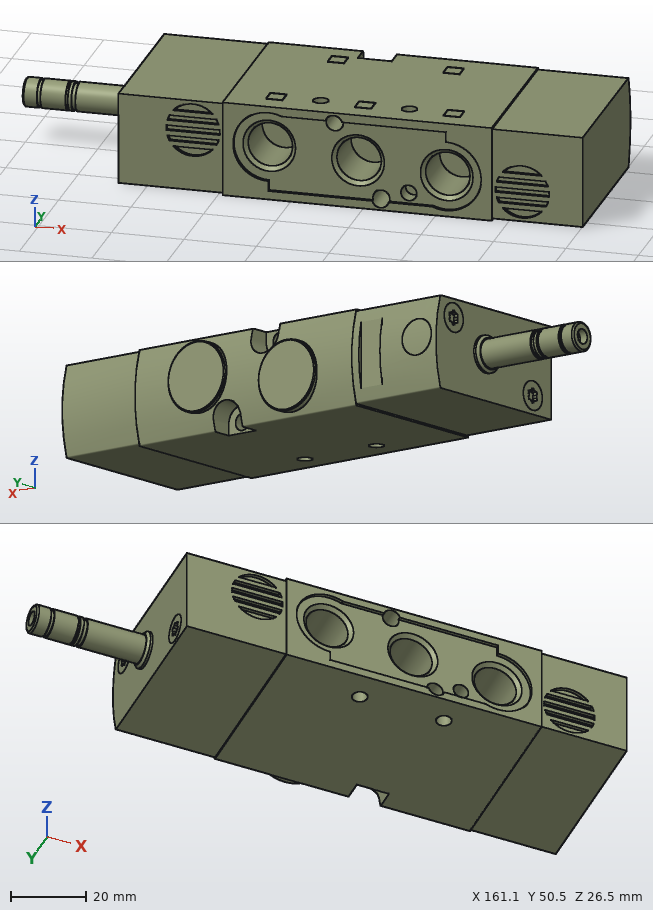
import cadquery as cq


block_length = 74.3
left_cap_length = 28.8
right_cap_length = 25.0
stem_length = 33.0

block_height = 26.5
crest_y = 49.5
crown_rise = 2.0
corner_radius = 0.5
cap_inset = 0.5

port_pitch_x = 24.5
port_pitch_z = 1.8
port_diameter = 12.2
port_mouth_diameter = 14.5
port_depth = 16.5

pad_circle_diameter = 19.5
pad_half_height = 10.8
pad_depth = 1.0

boss_diameter = 19.5
boss_offset_x = 15.5
boss_offset_z = 2.1
boss_height = 1.0
boss_chamfer = 0.3

bolt_hole_diameter = 4.7
bolt_hole_x = 6.5
bolt_hole_z = 10.1
bolt_slot_width = 9.3
bolt_slot_depth = 7.5
side_hole_diameter = 4.2
side_hole_x = port_pitch_x / 2
side_hole_y = 8.2
pilot_hole_diameter = 4.3
pilot_hole_x = 14.0
pilot_hole_z = -7.9
pilot_hole_depth = 5.6

label_size = 4.5
label_depth = 0.2
label_back_x = 16.0
label_back_y = 39.5

vent_diameter = 14.8
vent_center_x = 45.5
vent_center_z = 4.3
vent_pitch = 2.9
vent_slot_height = 1.5
vent_depth = 1.0

flat_start_x = 19.2
flat_length = 7.2
flat_depth = 1.0

screw_diameter = 8.0
screw_length = 4.8
socket_core_diameter = 3.2
socket_lobe_diameter = 0.9
socket_lobe_radius = 1.56
socket_lobes = 6
socket_depth = 1.3
screw_y_z = [(41.9, 7.5), (8.4, -7.5)]

button_diameter = 10.0
button_depth = 4.8
button_x = 6.6
button_z = 2.0

stem_y = 28.2
stem_diameter = 8.0
groove_diameter = 7.1
groove_spans = [(4.0, 5.0), (12.0, 12.5), (13.5, 14.7)]
tip_chamfer = 0.5
collar_diameter = 10.3
collar_length = 1.5
collar_chamfer = 0.8
tip_bores = [(4.0, 2.4), (2.5, 4.8), (0.9, 6.5)]

block_left = -block_length / 2
block_right = block_length / 2
boss_root_y = crest_y - 2 * crown_rise
boss_end_y = crest_y + boss_height
left_cap_end = block_left - left_cap_length
stem_tip = left_cap_end - stem_length
block_top = block_height / 2


def crowned_bar(start_x, length, inset):
    """Bar along X with a crowned back; its flat sides lie `inset` inside the block's sides."""
    top = block_top - inset
    shoulder_y = crest_y - crown_rise
    bar = (
        cq.Workplane("YZ", origin=(start_x, 0, 0))
        .moveTo(inset, -top)
        .lineTo(shoulder_y, -top)
        .threePointArc((crest_y, 0), (shoulder_y, top))
        .lineTo(inset, top)
        .close()
        .extrude(length)
    )
    return bar.edges("|X").edges(">Y").fillet(corner_radius)


def along_y(x, z, diameter, start_y, depth):
    """Cylinder running in +Y from `start_y`."""
    return cq.Workplane("XZ", origin=(x, start_y, z)).circle(diameter / 2).extrude(-depth)


def front_port(x, z):
    """Bore whose conical mouth starts at the floor of the port recess."""
    mouth_width = (port_mouth_diameter - port_diameter) / 2
    profile = [
        (0, 0),
        (port_mouth_diameter / 2, 0),
        (port_mouth_diameter / 2, pad_depth),
        (port_diameter / 2, pad_depth + mouth_width),
        (port_diameter / 2, port_depth),
        (0, port_depth),
    ]
    bore = cq.Workplane("XY").polyline(profile).close().revolve(360, (0, 0, 0), (0, 1, 0))
    return bore.translate((x, 0, z))


def port_recess():
    """Recess around the front ports: a rectangle joined to a circle at each outer port."""
    recess = cq.Workplane("XZ").rect(2 * port_pitch_x, 2 * pad_half_height).extrude(-pad_depth)
    for side in (-1, 1):
        circle = along_y(side * port_pitch_x, -side * port_pitch_z, pad_circle_diameter, 0, pad_depth)
        recess = recess.union(circle)
    return recess


def bolt_passage(side):
    """Hole through Y with a round-bottomed slot for the bolt head, open to the top or bottom face."""
    x = -side * bolt_hole_x
    z = side * bolt_hole_z
    start_y = crest_y - bolt_slot_depth
    hole = along_y(x, z, bolt_hole_diameter, 0, crest_y)
    seat = along_y(x, z, bolt_slot_width, start_y, bolt_slot_depth)
    opening = cq.Workplane("XY").box(
        bolt_slot_width, bolt_slot_depth, bolt_hole_z, centered=(True, False, False)
    )
    if side < 0:
        opening = opening.mirror("XY")
    return hole.union(seat).union(opening.translate((x, start_y, z)))


def make_block():
    block = crowned_bar(block_left, block_length, 0)
    for side in (-1, 1):
        boss = along_y(
            side * boss_offset_x, side * boss_offset_z, boss_diameter, boss_root_y, boss_end_y - boss_root_y
        )
        block = block.union(boss.faces(">Y").chamfer(boss_chamfer))
    block = block.cut(port_recess())
    for step in (-1, 0, 1):
        block = block.cut(front_port(step * port_pitch_x, -step * port_pitch_z))
    for side in (-1, 1):
        block = block.cut(bolt_passage(side))
        side_hole = (
            cq.Workplane("XY", origin=(side * side_hole_x, side_hole_y, -block_top))
            .circle(side_hole_diameter / 2)
            .extrude(block_height)
        )
        block = block.cut(side_hole)
    block = block.cut(along_y(pilot_hole_x, pilot_hole_z, pilot_hole_diameter, 0, pilot_hole_depth))
    label_places = [(step * port_pitch_x, side_hole_y) for step in (-1, 0, 1)]
    label_places += [(side * label_back_x, label_back_y) for side in (-1, 1)]
    labels = (
        cq.Workplane("XY", origin=(0, 0, block_top))
        .pushPoints(label_places)
        .rect(label_size, label_size)
        .extrude(-label_depth)
    )
    return block.cut(labels)


def vent(x, z):
    """Round field of five slots; the outermost slots run out to the circle."""
    field = along_y(x, z, vent_diameter, cap_inset, vent_depth)
    rib_height = vent_pitch - vent_slot_height
    rib_reach = 2 * (cap_inset + vent_depth)
    for step in (-1.5, -0.5, 0.5, 1.5):
        rib = cq.Workplane("XY").box(vent_diameter, rib_reach, rib_height)
        field = field.cut(rib.translate((x, 0, z + step * vent_pitch)))
    return field


def screw_blank(y, z):
    return cq.Workplane("YZ", origin=(left_cap_end, y, z)).circle(screw_diameter / 2).extrude(screw_length)


def make_screw(y, z):
    """Flush screw head with a six-lobed socket."""
    face = cq.Workplane("YZ", origin=(left_cap_end, y, z))
    core = face.circle(socket_core_diameter / 2).extrude(socket_depth)
    lobes = (
        face.polarArray(socket_lobe_radius, 90, 360, socket_lobes)
        .circle(socket_lobe_diameter / 2)
        .extrude(socket_depth)
    )
    return screw_blank(y, z).cut(core.union(lobes))


def button_blank():
    return along_y(left_cap_end + button_x, button_z, button_diameter, crest_y - button_depth, button_depth)


def make_left_cap():
    cap = crowned_bar(left_cap_end, left_cap_length, cap_inset)
    cap = cap.cut(vent(-vent_center_x, vent_center_z))
    flat = cq.Workplane("XY").box(flat_length, flat_depth, block_height, centered=(False, False, True))
    cap = cap.cut(flat.translate((left_cap_end + flat_start_x, crest_y - flat_depth, 0)))
    for y, z in screw_y_z:
        cap = cap.cut(screw_blank(y, z))
    return cap.cut(button_blank())


def make_right_cap():
    cap = crowned_bar(block_right, right_cap_length, cap_inset)
    return cap.cut(vent(vent_center_x, -vent_center_z))


def make_button():
    """Button whose end follows the crown of the cap."""
    return button_blank().intersect(crowned_bar(left_cap_end, left_cap_length, cap_inset))


def along_x(start, diameter, length):
    """Cylinder on the stem axis; `start` is measured from the stem tip."""
    return cq.Workplane("YZ", origin=(stem_tip + start, stem_y, 0)).circle(diameter / 2).extrude(length)


def make_stem():
    stem = along_x(0, stem_diameter, stem_length).faces("<X").chamfer(tip_chamfer)
    collar = along_x(stem_length - collar_length, collar_diameter, collar_length)
    stem = stem.union(collar.faces("<X").chamfer(collar_chamfer))
    for start, end in groove_spans:
        width = end - start
        ring = along_x(start, stem_diameter, width).cut(along_x(start, groove_diameter, width))
        stem = stem.cut(ring)
    for diameter, depth in tip_bores:
        stem = stem.cut(along_x(0, diameter, depth))
    return stem


block = make_block()
left_cap = make_left_cap()
right_cap = make_right_cap()
stem = make_stem()
button = make_button()
screws = [make_screw(y, z).val() for y, z in screw_y_z]

result = cq.Compound.makeCompound(
    [block.val(), left_cap.val(), right_cap.val(), stem.val(), button.val(), *screws]
)